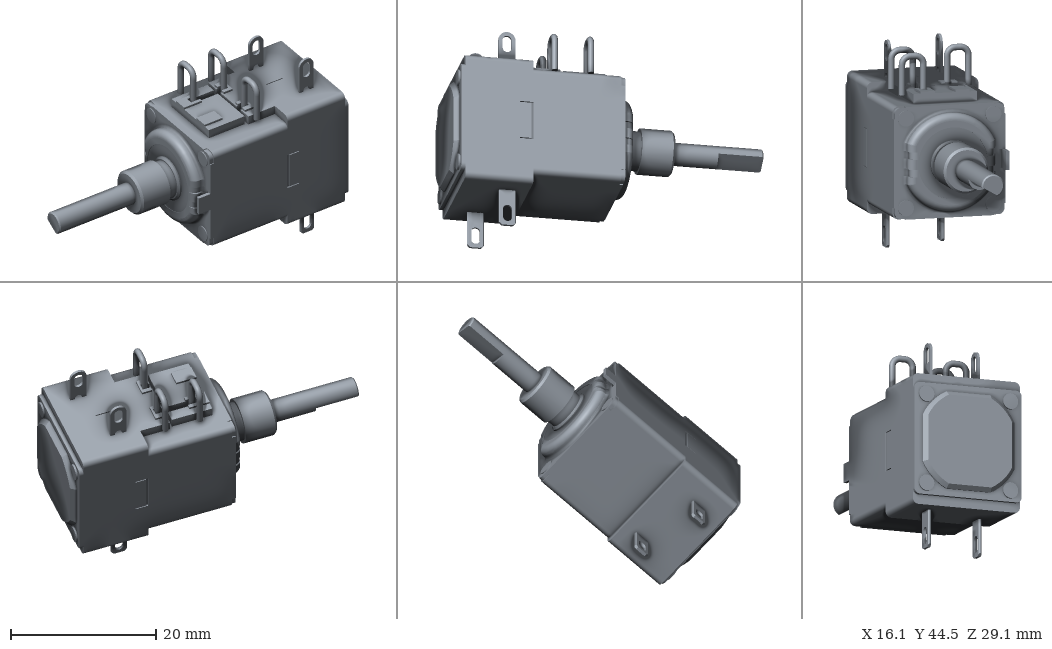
import cadquery as cq
import math


width = 16.05
front_height = 15.75
rear_height = 18.45
step_y = 12.9
split_y = 14.85
rear_y = 22.5
back_plate_y = 23.05
edge_radius = 0.8
half_width = width / 2
front_top = front_height / 2
rear_top = rear_height / 2

relief_size = 1.65
relief_length = 0.6
relief_depth = 0.15

joint_depth = 0.25
latch_half_height = 2.75
latch_gap = 0.3
joint_gap = 0.15
cover_step_y = 17.6

rivet_radius = 1.1
rivet_offset = 6.3
front_rivet_height = 0.15
rear_rivet_height = 0.25

dome_radius = 6.9
dome_flat = 6.3
dome_height = 1.6
dome_fillet = 1.0
dome_flare = 0.4
selection_margin = 0.05
rib_gap_inner = 0.7
rib_gap_outer = 1.75
rib_gap_depth = 0.25
dome_recess_radius = 5.0
dome_recess_depth = 0.1
rear_dome_radius = 7.6
rear_dome_flat = 6.85
rear_dome_end = 23.82
rear_dome_chamfer = 0.6

bushing_radius = 3.2
collar_end = 2.0
collar_chamfer = 0.25
neck_radius = 2.75
neck_end = 3.35
bushing_end = 8.05
bushing_chamfer = 0.3
shaft_radius = 1.6
shaft_end = 20.7
shaft_chamfer = 0.2
flat_start = 14.35
flat_distance = 0.85
flat_turn = 30

tab_thickness = 0.5
tab_half_height = 1.35
tab_end = 1.9
tab_clearance = 0.35
tab_pocket_depth = 0.45

carrier_half_width = 4.9
carrier_front = 8.5
block_half_width = 4.55
block_front = 2.15
block_rear = 8.1
key_half_width = 0.45
key_top = 8.6
pad_top = 9.55
rear_pad_x = 2.6
rear_pad_width = 2.3
rear_pad_front = 8.75
rear_pad_rear = 10.2
front_pad_x = 2.5
front_pad_width = 2.05
front_pad_rear = 5.1

wire_radius = 0.45
loop_top = rear_top + 5.4
loop_x = 4.0
loop_width = 3.07
loop_straight = 0.7
loop_half_width = loop_width / 2
loop_bend = (loop_width - loop_straight) / 2
outer_leg_bottom = 8.8
rear_loop_y = 9.45
front_loop_y = 4.35
channel_width = 1.0
channel_end_margin = 0.7

lug_width = 2.35
front_lug_y = 15.9
rear_lug_y = 18.6
upper_front_lug_x = -4.15
upper_rear_lug_x = 4.1
lower_front_lug_x = -4.4
lower_rear_lug_x = 4.3
lug_embed = 0.45
upper_lug_top = 14.45
lower_lug_bottom = -14.43
lug_slot_width = 1.25
lug_slot_length = 2.4
lug_slot_margin = 0.6
upper_lug_thickness = 0.35
lower_lug_thickness = 0.45
lug_hole_radius = 0.55
lug_hole_z = 9.3
lower_lug_bevel = 0.4
lower_lug_edge_bevel = 0.15
lug_groove_depth = 0.1


def span_box(x_range, y_range, z_range):
    """Box between the given limits on each axis."""
    x0, x1 = x_range
    y0, y1 = y_range
    z0, z1 = z_range
    return cq.Workplane("XY").box(x1 - x0, y1 - y0, z1 - z0, centered=False).translate((x0, y0, z0))


def disc(radius, y0, y1, x=0, z=0):
    """Round disc about a line parallel to Y."""
    return cq.Workplane("XZ", origin=(x, y0, z)).circle(radius).extrude(y0 - y1)


def housing():
    front = span_box((-half_width, half_width), (0, step_y), (-front_top, front_top))
    rear = span_box((-half_width, half_width), (step_y, rear_y), (-rear_top, rear_top))
    plate = span_box((-half_width, half_width), (rear_y, back_plate_y), (-front_top, front_top))
    blocks = [block.edges("|Y").fillet(edge_radius) for block in (front, rear, plate)]
    return blocks[0].union(blocks[1]).union(blocks[2])


def corner_reliefs():
    core = span_box(
        (-half_width + relief_depth, half_width - relief_depth),
        (0, relief_length),
        (-front_top + relief_depth, front_top - relief_depth),
    ).edges("|Y").fillet(edge_radius)
    corners = cq.Workplane("XY")
    for sx in (-1, 1):
        for sz in (-1, 1):
            corner = cq.Workplane("XY").box(2 * relief_size, relief_length, 2 * relief_size)
            corners = corners.union(corner.translate((sx * half_width, relief_length / 2, sz * front_top)))
    return corners.cut(core)


def joint_grooves():
    """Open gaps of the joint: round the side latches and at the step of the top joint."""
    grooves = span_box(
        (-joint_gap / 2, joint_gap / 2), (split_y, cover_step_y), (rear_top - joint_depth, rear_top)
    )
    for sx in (-1, 1):
        x_range = sorted((sx * half_width, sx * (half_width - joint_depth)))
        z_range = (-latch_half_height, latch_half_height)
        grooves = grooves.union(span_box(x_range, (step_y, step_y + latch_gap), z_range))
        for sz in (-1, 1):
            z_end = sz * latch_half_height
            z_range = sorted((z_end, z_end - sz * joint_gap))
            grooves = grooves.union(span_box(x_range, (step_y, split_y), z_range))
    return grooves


def rivets():
    heads = cq.Workplane("XY")
    for x in (-rivet_offset, rivet_offset):
        for z in (-rivet_offset, rivet_offset):
            heads = heads.union(disc(rivet_radius, -front_rivet_height, relief_length, x, z))
            heads = heads.union(disc(rivet_radius, rear_y, back_plate_y + rear_rivet_height, x, z))
    return heads


def dome_body(inset=0.0):
    """Round cap with two side flats, a rounded front rim and a concave flare at its foot."""
    radius = dome_radius - inset
    flat = dome_flat - inset
    limits = span_box((-flat, flat), (-dome_height, 0), (-radius, radius))
    cap = disc(radius, -dome_height, 0).intersect(limits)
    cap = cap.faces("<Y").edges().fillet(dome_fillet)
    base = span_box((-half_width, half_width), (0, relief_length), (-half_width, half_width))
    reach = radius + selection_margin
    foot_edges = cq.selectors.BoxSelector(
        (-reach, -selection_margin, -reach), (reach, selection_margin, reach), boundingbox=True
    )
    flared = base.union(cap).edges(foot_edges).fillet(dome_flare)
    return flared.cut(base)


def front_dome():
    """Cap whose side flats are crossed by two grooves each."""
    groove_bars = cq.Workplane("XY")
    for sz in (-1, 1):
        z_range = sorted((sz * rib_gap_inner, sz * rib_gap_outer))
        groove_bars = groove_bars.union(span_box((-half_width, half_width), (-dome_height, 0), z_range))
    dome = dome_body().cut(groove_bars).union(dome_body(rib_gap_depth))
    return dome.cut(disc(dome_recess_radius, -dome_height, -dome_height + dome_recess_depth))


def rear_dome():
    flat = rear_dome_flat
    limits = span_box((-flat, flat), (rear_y, rear_dome_end), (-flat, flat))
    cap = disc(rear_dome_radius, rear_y, rear_dome_end).intersect(limits)
    return cap.faces(">Y").edges().chamfer(rear_dome_chamfer)


def bushing_and_shaft():
    collar = disc(bushing_radius, -collar_end, 0).faces("<Y").edges().chamfer(collar_chamfer)
    neck = disc(neck_radius, -neck_end, 0)
    bushing = disc(bushing_radius, -bushing_end, -neck_end).faces("<Y").edges().chamfer(bushing_chamfer)
    shaft = disc(shaft_radius, -shaft_end, 0).faces("<Y").edges().chamfer(shaft_chamfer)
    flat_cut = span_box(
        (-shaft_radius, shaft_radius), (-shaft_end, -flat_start), (-2 * shaft_radius, -flat_distance)
    ).rotate((0, 0, 0), (0, 1, 0), flat_turn)
    return collar.union(neck).union(bushing).union(shaft.cut(flat_cut))


def tab_pocket():
    inner_x = half_width - tab_thickness - tab_clearance
    return span_box((inner_x, half_width), (0, tab_pocket_depth), (-tab_half_height, tab_half_height))


def locating_tab():
    x_range = (half_width - tab_thickness, half_width)
    return span_box(x_range, (-tab_end, tab_pocket_depth), (-tab_half_height, tab_half_height))


def leg_channel(x, y0, y1):
    """Slot through the carrier and its pads down to the housing top."""
    return span_box((x - channel_width / 2, x + channel_width / 2), (y0, y1), (front_top, pad_top))


def terminal_carrier():
    z_range = (front_top, rear_top)
    carrier = span_box((-carrier_half_width, carrier_half_width), (carrier_front, step_y), z_range)
    block = span_box((-block_half_width, block_half_width), (block_front, block_rear), z_range)
    key = span_box((-key_half_width, key_half_width), (block_rear, carrier_front), (front_top, key_top))
    parts = carrier.union(block).union(key)
    pad_z = (front_top, pad_top)
    for sx in (-1, 1):
        rear_x = sx * rear_pad_x
        rear_pad_range = (rear_x - rear_pad_width / 2, rear_x + rear_pad_width / 2)
        parts = parts.union(span_box(rear_pad_range, (rear_pad_front, rear_pad_rear), pad_z))
        front_x = sx * front_pad_x
        front_pad_range = (front_x - front_pad_width / 2, front_x + front_pad_width / 2)
        parts = parts.union(span_box(front_pad_range, (block_front, front_pad_rear), pad_z))
    leg_x = loop_x - loop_half_width
    channel_rear = rear_loop_y + wire_radius
    parts = parts.cut(leg_channel(-leg_x, front_loop_y - channel_end_margin, channel_rear))
    return parts.cut(leg_channel(leg_x, carrier_front, channel_rear))


def wire_loop(side, y):
    """Round wire bent to a hairpin; the inner leg stands on the housing, the outer one hangs free."""
    outer_x = side * (loop_x + loop_half_width)
    inner_x = side * (loop_x - loop_half_width)
    top = loop_top - wire_radius
    bend_z = top - loop_bend
    shift = loop_bend * side
    mid = loop_bend * (1 - math.cos(math.radians(45)))
    path = (
        cq.Workplane("XZ", origin=(0, y, 0))
        .moveTo(outer_x, outer_leg_bottom)
        .lineTo(outer_x, bend_z)
        .threePointArc((outer_x - side * mid, top - mid), (outer_x - shift, top))
        .lineTo(inner_x + shift, top)
        .threePointArc((inner_x + side * mid, top - mid), (inner_x, bend_z))
        .lineTo(inner_x, front_top - wire_radius)
    )
    return cq.Workplane("XY", origin=(outer_x, y, outer_leg_bottom)).circle(wire_radius).sweep(path)


def lug_slot(z):
    """Rounded slot along Z, centred on the YZ plane at height z."""
    return (
        cq.Workplane("YZ")
        .center(0, z)
        .slot2D(lug_slot_length, lug_slot_width, 90)
        .extrude(lower_lug_thickness, both=True)
    )


def upper_lug(x, y):
    """Flat lug with a round tip, a slot and a round hole at its foot."""
    half = lug_width / 2
    bottom = rear_top - lug_embed
    lug = (
        cq.Workplane("YZ")
        .moveTo(-half, bottom)
        .lineTo(-half, upper_lug_top - half)
        .threePointArc((0, upper_lug_top), (half, upper_lug_top - half))
        .lineTo(half, bottom)
        .close()
        .extrude(upper_lug_thickness / 2, both=True)
    )
    foot_hole = cq.Workplane("YZ").center(0, lug_hole_z).circle(lug_hole_radius)
    lug = lug.cut(foot_hole.extrude(upper_lug_thickness, both=True))
    lug = lug.cut(lug_slot(upper_lug_top - lug_slot_margin - lug_slot_length / 2))
    return lug.translate((x, y, 0))


def lower_lug(x, y, grooved=False):
    """Flat lug with a bevelled tip, bevelled long edges, a slot and, if asked, a groove on its -X face."""
    half = lug_width / 2
    half_thickness = lower_lug_thickness / 2
    lug = span_box(
        (-half_thickness, half_thickness), (-half, half), (lower_lug_bottom, lug_embed - rear_top)
    )
    lug = lug.edges("|Z").chamfer(lower_lug_edge_bevel)
    lug = lug.faces("<Z").edges("|X").chamfer(lower_lug_bevel)
    if grooved:
        x_range = (-half_thickness, -half_thickness + lug_groove_depth)
        y_range = (-lug_slot_width / 2, lug_slot_width / 2)
        lug = lug.cut(span_box(x_range, y_range, (lower_lug_bottom, -rear_top)))
    lug = lug.cut(lug_slot(lower_lug_bottom + lug_slot_margin + lug_slot_length / 2))
    return lug.translate((x, y, 0))


result = housing().cut(corner_reliefs()).cut(joint_grooves()).cut(tab_pocket())
features = [
    rivets(),
    front_dome(),
    rear_dome(),
    bushing_and_shaft(),
    locating_tab(),
    terminal_carrier(),
    wire_loop(-1, front_loop_y),
    wire_loop(-1, rear_loop_y),
    wire_loop(1, rear_loop_y),
    upper_lug(upper_front_lug_x, front_lug_y),
    upper_lug(upper_rear_lug_x, rear_lug_y),
    lower_lug(lower_front_lug_x, front_lug_y),
    lower_lug(lower_rear_lug_x, rear_lug_y, grooved=True),
]
for feature in features:
    result = result.union(feature)